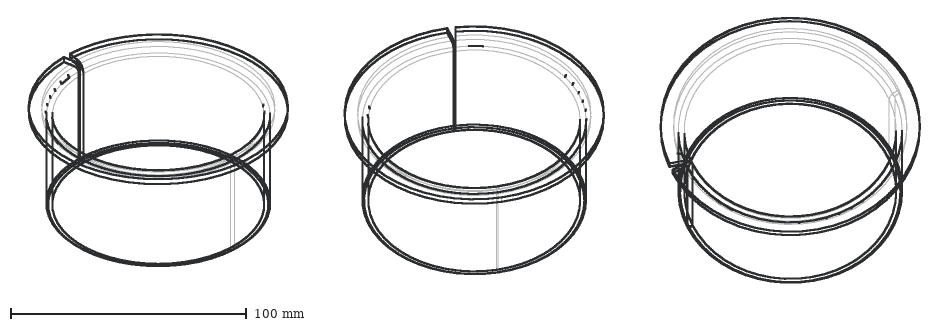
import cadquery as cq
import math

flange_radius = 55.0
height = 50.0
bore_radius = 45.0
wall = 2.5
outer_bend_radius = 2.0
end_chamfer = 0.8

split_gap_at_bore = 0.02
split_angle = 20.0
split_direction = 182.0

sleeve_radius = bore_radius + wall
inner_bend_radius = outer_bend_radius + wall
bend_center_radius = sleeve_radius + outer_bend_radius
bend_center_height = height - inner_bend_radius
arc_reach = math.sqrt(0.5)


def flanged_ring():
    """Revolve the wall section; both bends share one center."""
    section = (
        cq.Workplane("XZ")
        .moveTo(bore_radius, 0)
        .lineTo(sleeve_radius - end_chamfer, 0)
        .lineTo(sleeve_radius, end_chamfer)
        .lineTo(sleeve_radius, bend_center_height)
        .threePointArc(
            (
                bend_center_radius - outer_bend_radius * arc_reach,
                bend_center_height + outer_bend_radius * arc_reach,
            ),
            (bend_center_radius, height - wall),
        )
        .lineTo(flange_radius, height - wall)
        .lineTo(flange_radius, height)
        .lineTo(bend_center_radius, height)
        .threePointArc(
            (
                bend_center_radius - inner_bend_radius * arc_reach,
                bend_center_height + inner_bend_radius * arc_reach,
            ),
            (bore_radius, bend_center_height),
        )
        .close()
    )
    return section.revolve(360, (0, 0, 0), (0, 1, 0))


def split_wedge():
    """Full-height wedge that widens outward through the wall and flange."""
    half_slope = math.tan(math.radians(split_angle / 2))
    tip_radius = bore_radius - split_gap_at_bore / (2 * half_slope)
    end_radius = flange_radius + wall
    half_width = (end_radius - tip_radius) * half_slope
    return (
        cq.Workplane("XY")
        .polyline([(tip_radius, 0), (end_radius, -half_width), (end_radius, half_width)])
        .close()
        .extrude(height)
        .rotate((0, 0, 0), (0, 0, 1), split_direction)
    )


result = flanged_ring().cut(split_wedge())